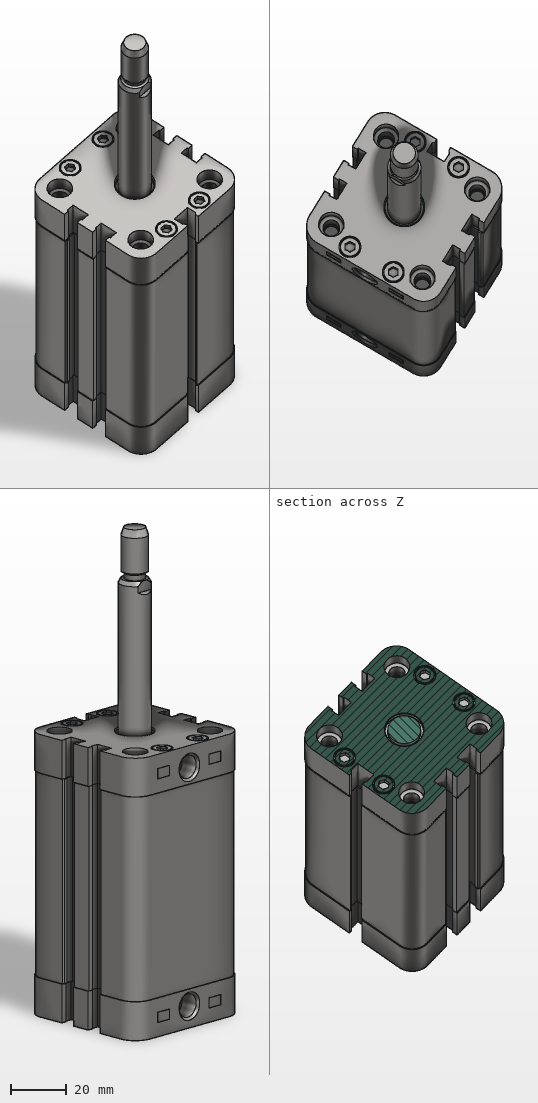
import cadquery as cq

TOTAL_HEIGHT = 181.0
HOUSING_HEIGHT = 105.2
CAP_HEIGHT = 14.5
BARREL_HEIGHT = HOUSING_HEIGHT - 2 * CAP_HEIGHT
BARREL_TOP = HOUSING_HEIGHT - CAP_HEIGHT

CAP_WIDTH = 54.8
CAP_CORNER_RADIUS = 7.2
BARREL_INSET = 0.4
BARREL_WIDTH = CAP_WIDTH - 2 * BARREL_INSET
BARREL_CORNER_RADIUS = CAP_CORNER_RADIUS - BARREL_INSET
CAP_FACE = CAP_WIDTH / 2

RIB_HALF_WIDTH = 3.6
SLOT_LIP_DEPTH = 2.2
SLOT_UNDERCUT = 0.5
SLOT_FLOOR = 22.0
CAP_SLOT_OUTER_EDGE = 9.6
BARREL_SLOT_OUTER_EDGE = 9.0
BARREL_SLOT_CHAMFER = 0.5

SIDE_SLOT_HALF_WIDTH = 3.6
SIDE_SLOT_LIP_DEPTH = 2.0
CAP_SIDE_SLOT_MOUTH_HALF = 2.9
CAP_SIDE_SLOT_FLOOR = 21.7
BARREL_SIDE_SLOT_MOUTH_HALF = 2.5
BARREL_SIDE_SLOT_FLOOR = 22.3

MOUNT_SPACING = 38.0
MOUNT_COUNTERBORE_DIAMETER = 9.0
MOUNT_COUNTERBORE_DEPTH = 5.0
MOUNT_HOLE_DIAMETER = 6.0
MOUNT_HOLE_DEPTH = 10.9
MOUNT_CORE_DIAMETER = 5.2
MOUNT_CORE_DEPTH = 12.7

SCREW_SPACING_X = 45.2
SCREW_SPACING_Y = 18.1
SCREW_RECESS_DIAMETER = 7.8
SCREW_HEAD_DIAMETER = 6.9
SCREW_GROOVE_DEPTH = 0.9
SOCKET_SIDES = 6
SOCKET_ACROSS_CORNERS = 4.0
SOCKET_DEPTH = 1.8

PORT_OFFSET = 8.1
PORT_MOUTH_DIAMETER = 10.5
PORT_DIAMETER = 8.7
PORT_FLOOR_DIAMETER = 40.0

LABEL_OFFSET = 13.0
LABEL_LENGTH = 6.0
LABEL_HEIGHT = 3.8
LABEL_DEPTH = 0.2

ROD_DIAMETER = 12.0
GLAND_DIAMETER = 13.8
GLAND_MOUTH_DIAMETER = 14.7
GLAND_DEPTH = 1.8
SHOULDER_HEIGHT = 162.0
SHOULDER_CHAMFER_HEIGHT = 1.6
SHOULDER_CHAMFER_WIDTH = 0.9
THREAD_DIAMETER = 10.0
THREAD_START = 164.7
UNDERCUT_DIAMETER = 7.8
UNDERCUT_TOP_DIAMETER = 9.0
UNDERCUT_TAPER_HEIGHT = 0.7
TIP_DIAMETER = 8.0
TIP_HEIGHT = 2.9
FLATS_WIDTH = 10.0
FLATS_BOTTOM = 158.0

CUT_MARGIN = 1.8


def rounded_block(width, corner_radius, bottom, height):
    return (
        cq.Workplane("XY", origin=(0, 0, bottom))
        .rect(width, width)
        .extrude(height)
        .edges("|Z")
        .fillet(corner_radius)
    )


def paired_slot(outer_edge, side_x, side_y, bottom, height):
    """One undercut channel beside the rib, on the side given by the two signs."""
    lip = CAP_FACE - SLOT_LIP_DEPTH
    outside = CAP_FACE + CUT_MARGIN
    outline = [
        (RIB_HALF_WIDTH, outside),
        (RIB_HALF_WIDTH, lip),
        (RIB_HALF_WIDTH - SLOT_UNDERCUT, lip),
        (RIB_HALF_WIDTH - SLOT_UNDERCUT, SLOT_FLOOR),
        (outer_edge + SLOT_UNDERCUT, SLOT_FLOOR),
        (outer_edge + SLOT_UNDERCUT, lip),
        (outer_edge, lip),
        (outer_edge, outside),
    ]
    points = [(side_x * x, side_y * y) for x, y in outline]
    return cq.Workplane("XY", origin=(0, 0, bottom)).polyline(points).close().extrude(height)


def side_slot(mouth_half, floor, bottom, height):
    """Undercut channel in the middle of the +X side."""
    lip = CAP_FACE - SIDE_SLOT_LIP_DEPTH
    lip_slope = SIDE_SLOT_HALF_WIDTH - mouth_half
    outside = CAP_FACE + CUT_MARGIN
    points = [
        (floor, SIDE_SLOT_HALF_WIDTH),
        (lip, SIDE_SLOT_HALF_WIDTH),
        (lip + lip_slope, mouth_half),
        (outside, mouth_half),
        (outside, -mouth_half),
        (lip + lip_slope, -mouth_half),
        (lip, -SIDE_SLOT_HALF_WIDTH),
        (floor, -SIDE_SLOT_HALF_WIDTH),
    ]
    return cq.Workplane("XY", origin=(0, 0, bottom)).polyline(points).close().extrude(height)


def cut_slots(body, outer_edge, mouth_half, side_floor, bottom, height):
    for side_x in (-1, 1):
        for side_y in (-1, 1):
            body = body.cut(paired_slot(outer_edge, side_x, side_y, bottom, height))
    return body.cut(side_slot(mouth_half, side_floor, bottom, height))


def port(height):
    """Blind port with a chamfered mouth, going in along +X to a rounded core around the Z axis."""
    chamfer = (PORT_MOUTH_DIAMETER - PORT_DIAMETER) / 2
    profile = [
        (-CAP_FACE, height),
        (-CAP_FACE, height + PORT_MOUTH_DIAMETER / 2),
        (-CAP_FACE + chamfer, height + PORT_DIAMETER / 2),
        (0, height + PORT_DIAMETER / 2),
        (0, height),
    ]
    bore = (
        cq.Workplane("XZ")
        .polyline(profile)
        .close()
        .revolve(360, (0, height, 0), (1, height, 0))
    )
    core = cq.Workplane("XY").circle(PORT_FLOOR_DIAMETER / 2).extrude(HOUSING_HEIGHT)
    return bore.cut(core)


def label_recesses(height):
    return (
        cq.Workplane("YZ", origin=(-CAP_FACE, 0, height))
        .pushPoints([(-LABEL_OFFSET, 0), (LABEL_OFFSET, 0)])
        .rect(LABEL_LENGTH, LABEL_HEIGHT)
        .extrude(LABEL_DEPTH)
    )


def plain_cap(bottom, port_height):
    """Features shared by both caps: block, slots, port and labels."""
    cap = rounded_block(CAP_WIDTH, CAP_CORNER_RADIUS, bottom, CAP_HEIGHT)
    cap = cut_slots(
        cap, CAP_SLOT_OUTER_EDGE, CAP_SIDE_SLOT_MOUTH_HALF, CAP_SIDE_SLOT_FLOOR, bottom, CAP_HEIGHT
    )
    label_height = bottom + CAP_HEIGHT / 2
    return cap.cut(port(port_height)).cut(label_recesses(label_height))


def cut_mounting_holes(cap):
    steps = [
        (MOUNT_COUNTERBORE_DIAMETER, MOUNT_COUNTERBORE_DEPTH),
        (MOUNT_HOLE_DIAMETER, MOUNT_HOLE_DEPTH),
        (MOUNT_CORE_DIAMETER, MOUNT_CORE_DEPTH),
    ]
    for diameter, depth in steps:
        holes = (
            cq.Workplane("XY", origin=(0, 0, HOUSING_HEIGHT))
            .rect(MOUNT_SPACING, MOUNT_SPACING, forConstruction=True)
            .vertices()
            .circle(diameter / 2)
            .extrude(-depth)
        )
        cap = cap.cut(holes)
    return cap


def cut_screw_details(cap):
    centres = (
        cq.Workplane("XY", origin=(0, 0, HOUSING_HEIGHT))
        .rect(SCREW_SPACING_X, SCREW_SPACING_Y, forConstruction=True)
        .vertices()
    )
    grooves = (
        centres.circle(SCREW_RECESS_DIAMETER / 2)
        .circle(SCREW_HEAD_DIAMETER / 2)
        .extrude(-SCREW_GROOVE_DEPTH)
    )
    socket = cq.Workplane("XY").polygon(SOCKET_SIDES, SOCKET_ACROSS_CORNERS).extrude(-SOCKET_DEPTH)
    socket = socket.rotate((0, 0, 0), (0, 0, 1), 90)
    sockets = centres.eachpoint(socket.val(), combine=False)
    return cap.cut(grooves).cut(sockets)


def make_bottom_cap():
    return plain_cap(0, PORT_OFFSET)


def slot_mouth_chamfer(side_x, side_y):
    """Triangular strip that bevels the outer mouth edge of one barrel slot."""
    face = BARREL_WIDTH / 2
    edge = BARREL_SLOT_OUTER_EDGE
    outline = [(edge, face), (edge, face - BARREL_SLOT_CHAMFER), (edge + BARREL_SLOT_CHAMFER, face)]
    points = [(side_x * x, side_y * y) for x, y in outline]
    return cq.Workplane("XY", origin=(0, 0, CAP_HEIGHT)).polyline(points).close().extrude(BARREL_HEIGHT)


def make_barrel():
    barrel = rounded_block(BARREL_WIDTH, BARREL_CORNER_RADIUS, CAP_HEIGHT, BARREL_HEIGHT)
    barrel = cut_slots(
        barrel,
        BARREL_SLOT_OUTER_EDGE,
        BARREL_SIDE_SLOT_MOUTH_HALF,
        BARREL_SIDE_SLOT_FLOOR,
        CAP_HEIGHT,
        BARREL_HEIGHT,
    )
    for side_x in (-1, 1):
        for side_y in (-1, 1):
            barrel = barrel.cut(slot_mouth_chamfer(side_x, side_y))
    return barrel


def make_top_cap():
    """Cap that guides the rod, with a wider gland recess around it at the top."""
    cap = plain_cap(BARREL_TOP, HOUSING_HEIGHT - PORT_OFFSET)
    cap = cut_mounting_holes(cap)
    cap = cut_screw_details(cap)
    top = cq.Workplane("XY", origin=(0, 0, HOUSING_HEIGHT))
    rod_hole = top.circle(ROD_DIAMETER / 2).extrude(-CAP_HEIGHT)
    gland_chamfer = (GLAND_MOUTH_DIAMETER - GLAND_DIAMETER) / 2
    gland_recess = top.circle(GLAND_DIAMETER / 2).extrude(-GLAND_DEPTH)
    gland_mouth = (
        top.circle(GLAND_MOUTH_DIAMETER / 2)
        .workplane(offset=-gland_chamfer)
        .circle(GLAND_DIAMETER / 2)
        .loft(ruled=True)
    )
    return cap.cut(rod_hole).cut(gland_recess).cut(gland_mouth)


def rod_flat(side):
    """Wrench flat on the -X or +X side, running out at 45 degrees at its lower end."""
    flat = FLATS_WIDTH / 2
    outside = ROD_DIAMETER / 2 + CUT_MARGIN
    points = [
        (side * flat, SHOULDER_HEIGHT),
        (side * flat, FLATS_BOTTOM),
        (side * outside, FLATS_BOTTOM - (outside - flat)),
        (side * outside, SHOULDER_HEIGHT),
    ]
    return cq.Workplane("XZ").polyline(points).close().extrude(ROD_DIAMETER / 2, both=True)


def make_rod():
    """Rod standing on the barrel, with wrench flats and a threaded end."""
    rod_radius = ROD_DIAMETER / 2
    thread_radius = THREAD_DIAMETER / 2
    undercut_radius = UNDERCUT_DIAMETER / 2
    profile = [
        (0, BARREL_TOP),
        (rod_radius, BARREL_TOP),
        (rod_radius, SHOULDER_HEIGHT - SHOULDER_CHAMFER_HEIGHT),
        (rod_radius - SHOULDER_CHAMFER_WIDTH, SHOULDER_HEIGHT),
        (undercut_radius, SHOULDER_HEIGHT),
        (undercut_radius, THREAD_START - UNDERCUT_TAPER_HEIGHT),
        (UNDERCUT_TOP_DIAMETER / 2, THREAD_START),
        (thread_radius, THREAD_START),
        (thread_radius, TOTAL_HEIGHT - TIP_HEIGHT),
        (TIP_DIAMETER / 2, TOTAL_HEIGHT),
        (0, TOTAL_HEIGHT),
    ]
    rod = cq.Workplane("XZ").polyline(profile).close().revolve(360, (0, 0, 0), (0, 1, 0))
    for side in (-1, 1):
        rod = rod.cut(rod_flat(side))
    return rod


bottom_cap = make_bottom_cap()
barrel = make_barrel()
top_cap = make_top_cap()
rod = make_rod()

result = cq.Compound.makeCompound([bottom_cap.val(), barrel.val(), top_cap.val(), rod.val()])